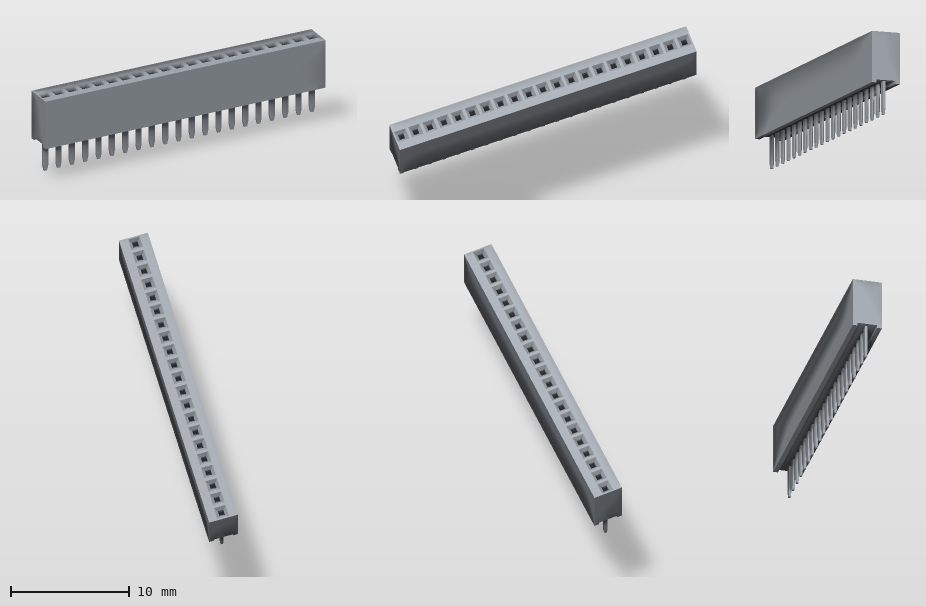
import cadquery as cq

length = 26.67
width = 2.53
overall_height = 7.0
body_height = 4.4
contact_count = 21
pitch = length / contact_count

rail_width = 0.43
channel_depth = 0.25

entry_size = 1.01
well_size = 0.48
entry_depth = (entry_size - well_size) / 2
well_depth = 1.07

pin_thickness = 0.2
pin_width = 0.5
tip_width = 0.27
tip_length = 0.5

contact_rise = 0.05

roof_z = channel_depth
pin_bottom_z = body_height - overall_height
funnel_z = body_height - entry_depth
well_z = funnel_z - well_depth

contact_places = [(i - (contact_count - 1) / 2) * pitch for i in range(contact_count)]


def make_body():
    block = cq.Workplane("XY").box(width, length, body_height, centered=(True, True, False))
    channel = cq.Workplane("XY").box(
        width - 2 * rail_width, length, channel_depth, centered=(True, True, False)
    )
    return block.cut(channel)


def make_entry(y):
    """Square funnel with 45 degree sides, leading into a straight square well."""
    funnel = (
        cq.Workplane("XY", origin=(0, y, funnel_z))
        .rect(well_size, well_size)
        .workplane(offset=entry_depth)
        .rect(entry_size, entry_size)
        .loft(ruled=True)
    )
    well = cq.Workplane("XY", origin=(0, y, well_z)).box(
        well_size, well_size, well_depth, centered=(True, True, False)
    )
    return funnel.union(well)


def make_pin(y):
    """Flat pin hanging from the channel roof, tapered at its lower end."""
    taper_z = pin_bottom_z + tip_length
    return (
        cq.Workplane("YZ", origin=(-pin_thickness / 2, y, 0))
        .polyline([
            (-pin_width / 2, roof_z),
            (-pin_width / 2, taper_z),
            (-tip_width / 2, pin_bottom_z),
            (tip_width / 2, pin_bottom_z),
            (pin_width / 2, taper_z),
            (pin_width / 2, roof_z),
        ])
        .close()
        .extrude(pin_thickness)
    )


def make_contact_end(y):
    """Upper end of the contact, standing slightly above the well floor."""
    return cq.Workplane("XY", origin=(0, y, well_z)).box(
        pin_thickness, well_size, contact_rise, centered=(True, True, False)
    )


result = make_body()
for place in contact_places:
    result = result.cut(make_entry(place))
    result = result.union(make_contact_end(place))
    result = result.union(make_pin(place))